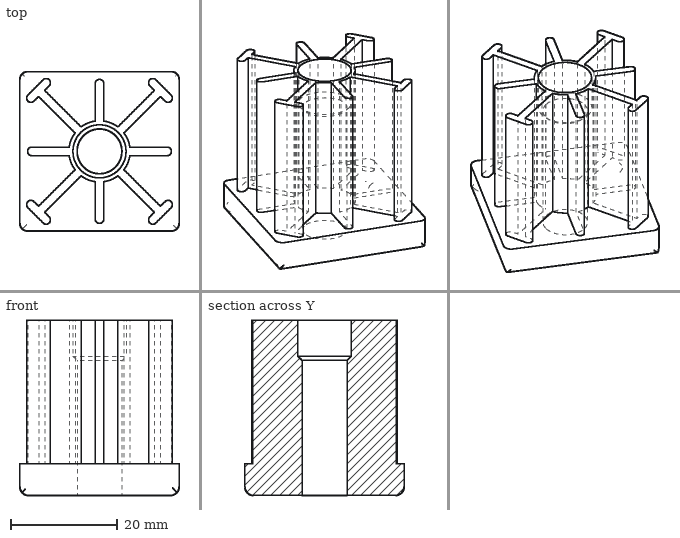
import cadquery as cq

plate_side = 30.0
plate_height = 6.0
total_height = 33.0
corner_radius = 1.5
bottom_round_radius = 1.7
bottom_round_inset = 1.5

tube_diameter = 11.5
bore_diameter = 10.0
hole_diameter = 8.38
bore_depth = 6.8
taper_depth = 0.8

rib_thickness = 1.62
straight_rib_reach = 13.53
diagonal_rib_reach = 16.2
end_bar_length = 5.67

rib_height = total_height - plate_height


def rounded_bottom_profile():
    """Plate cross-section with both lower corners rounded."""
    half = plate_side / 2
    flat_half = half - bottom_round_inset
    return (
        cq.Workplane("XZ")
        .moveTo(-flat_half, 0)
        .lineTo(flat_half, 0)
        .radiusArc((half, bottom_round_radius), -bottom_round_radius)
        .lineTo(half, plate_height)
        .lineTo(-half, plate_height)
        .lineTo(-half, bottom_round_radius)
        .radiusArc((-flat_half, 0), -bottom_round_radius)
        .close()
        .extrude(half, both=True)
    )


def make_plate():
    """Square plate whose rounded bottom edges meet in mitres."""
    along_y = rounded_bottom_profile()
    along_x = along_y.rotate((0, 0, 0), (0, 0, 1), 90)
    prism = (
        cq.Workplane("XY")
        .rect(plate_side, plate_side)
        .extrude(plate_height)
        .edges("|Z")
        .fillet(corner_radius)
    )
    return prism.intersect(along_y).intersect(along_x)


def make_slot(length, angle, x=0):
    """Upright round-ended wall, centred at x and turned about its own centre."""
    return (
        cq.Workplane("XY", origin=(0, 0, plate_height))
        .center(x, 0)
        .slot2D(length, rib_thickness, angle)
        .extrude(rib_height)
    )


def make_diagonal_rib(angle):
    """Rib running out from the tube axis to a crosswise end bar."""
    web = (
        cq.Workplane("XY", origin=(0, 0, plate_height))
        .center(diagonal_rib_reach / 2, 0)
        .rect(diagonal_rib_reach, rib_thickness)
        .extrude(rib_height)
    )
    rib = web.union(make_slot(end_bar_length, 90, diagonal_rib_reach))
    return rib.rotate((0, 0, 0), (0, 0, 1), angle)


def make_bore():
    """Through hole that opens through a taper into the wider upper bore."""
    bore_floor = total_height - bore_depth
    taper_end = bore_floor - taper_depth
    return (
        cq.Workplane("XZ")
        .moveTo(0, 0)
        .lineTo(hole_diameter / 2, 0)
        .lineTo(hole_diameter / 2, taper_end)
        .lineTo(bore_diameter / 2, bore_floor)
        .lineTo(bore_diameter / 2, total_height)
        .lineTo(0, total_height)
        .close()
        .revolve(360, (0, 0, 0), (0, 1, 0))
    )


tube = cq.Workplane("XY").workplane(offset=plate_height).circle(tube_diameter / 2).extrude(rib_height)
body = make_plate().union(tube)
for straight_angle in (0, 90):
    body = body.union(make_slot(2 * straight_rib_reach, straight_angle))
for diagonal_angle in (45, 135, 225, 315):
    body = body.union(make_diagonal_rib(diagonal_angle))

result = body.cut(make_bore())